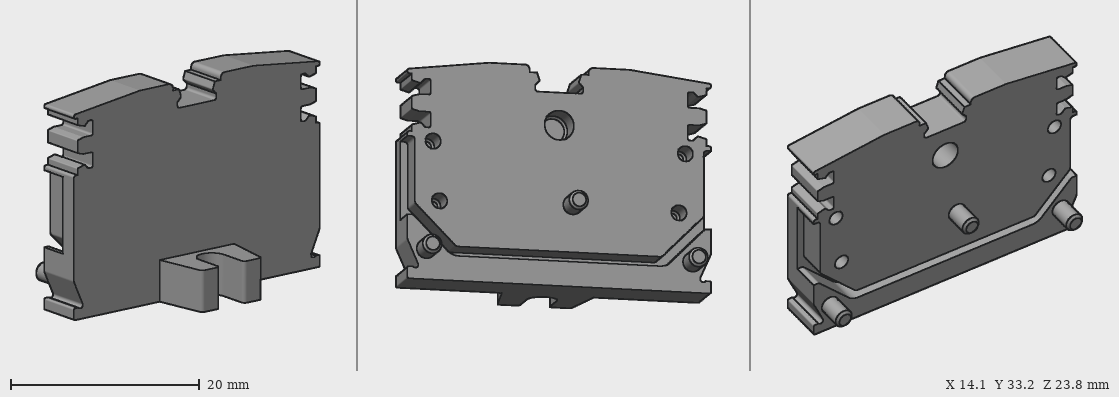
import cadquery as cq
import math


length = 33.2
height = 23.8
total_depth = 14.1
half_length = length / 2

pin_length = 3.0
plate_thickness = 5.1
fork_length = total_depth - pin_length - plate_thickness

foot_round = 0.2
end_height = 22.7
roof_half_width = 7.67

foot_lip_height = 1.33
foot_notch_top = 4.28
foot_notch_top_round = 0.5
relief_radius = 0.33
relief_inset = 0.85
relief_rise = 0.2
foot_slope_angle = 25.0

tooth_mid_height = 19.1
tooth_inset = 0.5
tooth_half_height = 0.7
tooth_taper = 0.23
tooth_taper_length = 0.8
tooth_round = 0.13
slot_inset = 2.55
slot_reach = 2.62
slot_round = 0.23
barb_inset = 1.45
barb_tip_reach = 2.12
barb_side_reach = 2.4
barb_round = 0.1
lip_reach = 3.12

roof_slope = math.atan2(height - end_height, half_length - roof_half_width)
lip_thickness = end_height - tooth_mid_height - lip_reach
lip_round = lip_thickness / (1 + math.tan(math.pi / 4 - roof_slope / 2))

grip_top_half_width = 3.22
grip_top_round = 0.53
grip_ledge_drop = 0.8
grip_ledge_half_width = 2.42
grip_neck_half_width = 2.12
grip_neck_drop = 1.65
grip_neck_round = 0.2
grip_floor_half_width = 2.62
grip_undercut_drop = 2.2
grip_floor_drop = 2.85
grip_floor_round = 0.3

channel_depth = 3.2
channel_top = 15.45
channel_side_width = 0.83
channel_outer_start = 6.95
channel_inner_start = 8.25
channel_floor = 2.7
channel_floor_half_width = 11.7
channel_bottom_width = 1.03
channel_round = 0.4
channel_bend_round = 1.65

pin_radius = 1.03
pin_chamfer = 0.3
pin_side_offset = 14.55
pin_side_height = 3.3
pin_middle_offset = -1.45
pin_middle_height = 8.83

hole_depth = 3.2
hole_bottom_chamfer = 0.25
large_hole_radius = 1.6
large_hole_height = 17.4
small_hole_radius = 0.83
upper_hole_offset = 13.78
upper_hole_height = 15.0
lower_hole_offset = 13.08
lower_hole_height = 8.55

fork_height = 4.6
fork_root_half_width = 5.0
fork_tip_half_width = 4.02
fork_slot_half_width = 1.63
fork_slot_bottom = 0.93
fork_tip_round = 0.4

shortest_line = 0.0003


def rounded_outline(plane, corners):
    """Closed outline through (u, v, radius) corners; a radius of 0 keeps the corner sharp."""
    path = []
    for i, (u, v, radius) in enumerate(corners):
        corner = cq.Vector(u, v)
        if radius == 0:
            path.append([corner])
            continue
        before = (cq.Vector(*corners[i - 1][:2]) - corner).normalized()
        after = (cq.Vector(*corners[(i + 1) % len(corners)][:2]) - corner).normalized()
        half_angle = before.getAngle(after) / 2
        setback = radius / math.tan(half_angle)
        to_arc = radius / math.sin(half_angle) - radius
        middle = corner + (before + after).normalized() * to_arc
        path.append([corner + before * setback, middle, corner + after * setback])

    end = path[0][-1]
    sketch = cq.Workplane(plane).moveTo(end.x, end.y)
    for points in path[1:] + path[:1]:
        if (points[0] - end).Length > shortest_line:
            sketch = sketch.lineTo(points[0].x, points[0].y)
        if len(points) == 3:
            sketch = sketch.threePointArc(points[1].toTuple()[:2], points[2].toTuple()[:2])
        end = points[-1]
    return sketch.close()


def both_ends(solid):
    return solid.union(solid.mirror("XZ"))


def make_plate():
    relief_y = half_length - relief_inset
    relief_z = foot_lip_height + relief_rise
    slope = math.radians(foot_slope_angle)
    slope_start_y = relief_y - relief_radius * math.cos(slope)
    slope_start_z = relief_z + relief_radius * math.sin(slope)
    corners = [
        (0, 0, 0),
        (half_length, 0, foot_round),
        (half_length, foot_lip_height, foot_round),
        (relief_y, foot_lip_height, 0),
        (slope_start_y, slope_start_z, 0),
        (half_length, foot_notch_top, foot_notch_top_round),
        (half_length, end_height, lip_round),
        (roof_half_width, height, 0),
        (0, height, 0),
    ]
    relief = (
        cq.Workplane("YZ").center(relief_y, relief_z).circle(relief_radius).extrude(plate_thickness)
    )
    return both_ends(rounded_outline("YZ", corners).extrude(plate_thickness).cut(relief))


def make_end_slots():
    """Slots above and below the centre tooth; the upper half is drawn, then mirrored."""
    lip_round_end = lip_reach + lip_round
    tooth_end = half_length - tooth_inset
    tooth_root = tooth_half_height + tooth_taper
    slot_end = half_length - slot_inset
    barb_tip = half_length - barb_inset
    barb_root = barb_tip - (slot_reach - barb_tip_reach)
    corners = [
        (half_length + lip_round, 0, 0),
        (tooth_end, 0, 0),
        (tooth_end, tooth_half_height, tooth_round),
        (tooth_end - tooth_taper_length, tooth_root, 0),
        (slot_end, tooth_root, slot_round),
        (slot_end, slot_reach, slot_round),
        (barb_root, slot_reach, slot_round),
        (barb_tip, barb_tip_reach, barb_round),
        (tooth_end, barb_side_reach, tooth_round),
        (tooth_end, lip_reach, 0),
        (half_length, lip_reach, lip_round),
        (half_length, lip_round_end, 0),
        (half_length + lip_round, lip_round_end, 0),
    ]
    upper = rounded_outline("YZ", corners).extrude(plate_thickness)
    pair = upper.union(upper.mirror("XY")).translate((0, 0, tooth_mid_height))
    return both_ends(pair)


def make_grip_notch():
    above_roof = height + grip_top_round
    round_start = grip_top_half_width + grip_top_round
    corners = [
        (0, above_roof, 0),
        (round_start, above_roof, 0),
        (round_start, height, 0),
        (grip_top_half_width, height, grip_top_round),
        (grip_top_half_width, height - grip_ledge_drop, 0),
        (grip_ledge_half_width, height - grip_ledge_drop, 0),
        (grip_neck_half_width, height - grip_neck_drop, grip_neck_round),
        (grip_floor_half_width, height - grip_undercut_drop, 0),
        (grip_floor_half_width, height - grip_floor_drop, grip_floor_round),
        (0, height - grip_floor_drop, 0),
    ]
    return both_ends(rounded_outline("YZ", corners).extrude(plate_thickness))


def make_channel():
    inner_side = half_length - channel_side_width
    inner_floor = channel_floor + channel_bottom_width
    outer_shoulder = channel_floor_half_width + channel_outer_start - channel_floor
    inner_bend = inner_side - (channel_inner_start - inner_floor)
    corners = [
        (0, channel_floor, 0),
        (channel_floor_half_width, channel_floor, channel_bend_round),
        (outer_shoulder, channel_outer_start, channel_round),
        (half_length, channel_outer_start, 0),
        (half_length, channel_top, 0),
        (inner_side, channel_top, channel_round),
        (inner_side, channel_inner_start, channel_round),
        (inner_bend, inner_floor, channel_round),
        (0, inner_floor, 0),
    ]
    return both_ends(rounded_outline("YZ", corners).extrude(channel_depth))


def make_pin(y, z):
    return (
        cq.Workplane("YZ").center(y, z).circle(pin_radius).extrude(-pin_length)
        .faces("<X").chamfer(pin_chamfer)
    )


def make_hole(y, z, radius):
    return (
        cq.Workplane("YZ").center(y, z).circle(radius).extrude(hole_depth)
        .faces(">X").chamfer(hole_bottom_chamfer)
    )


def make_fork():
    slot_centre = plate_thickness + fork_slot_bottom + fork_slot_half_width
    tip = plate_thickness + fork_length
    corners = [
        (plate_thickness, -fork_root_half_width, 0),
        (tip, -fork_tip_half_width, fork_tip_round),
        (tip, -fork_slot_half_width, fork_tip_round),
        (slot_centre, -fork_slot_half_width, 0),
        (slot_centre, fork_slot_half_width, 0),
        (tip, fork_slot_half_width, fork_tip_round),
        (tip, fork_tip_half_width, fork_tip_round),
        (plate_thickness, fork_root_half_width, 0),
    ]
    round_bottom = (
        cq.Workplane("XY").center(slot_centre, 0).circle(fork_slot_half_width).extrude(fork_height)
    )
    return rounded_outline("XY", corners).extrude(fork_height).cut(round_bottom)


result = make_plate()
result = result.cut(make_end_slots())
result = result.cut(make_grip_notch())
result = result.cut(make_channel())

result = result.cut(make_hole(0, large_hole_height, large_hole_radius))
for side in (-1, 1):
    result = result.cut(make_hole(side * upper_hole_offset, upper_hole_height, small_hole_radius))
    result = result.cut(make_hole(side * lower_hole_offset, lower_hole_height, small_hole_radius))
    result = result.union(make_pin(side * pin_side_offset, pin_side_height))

result = result.union(make_pin(pin_middle_offset, pin_middle_height))
result = result.union(make_fork())